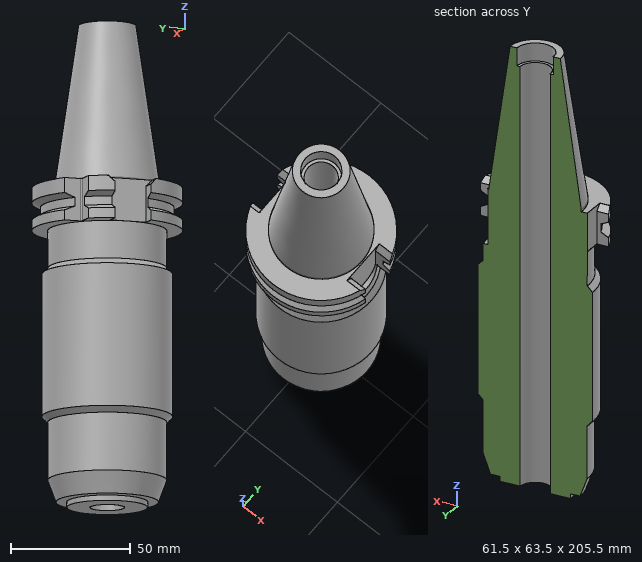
import cadquery as cq

total_height = 205.5
gauge_z = 137.0
flange_top_z = 136.0
flange_bottom_z = 118.0

taper_tip_radius = 12.1
taper_gauge_radius = 22.2

flange_diameter = 63.5
flange_radius = flange_diameter / 2
groove_radius = 28.1
groove_center_z = 126.0
groove_floor_width = 3.7
groove_mouth_width = 7.4

neck_radius = 25.0
body_radius = 27.5
body_chamfer = body_radius - neck_radius
body_top_z = 99.5
body_bottom_z = 38.6
nose_cone_top_z = 11.5
nose_cone_end_radius = 21.5
nose_lip_radius = 17.0
nose_lip_height = 2.3

slot_width = 16.0
slot_chamfer = 2.7
left_slot_floor = 25.0
right_slot_floor = 22.8
cut_reach = 41.0

notch_edge = 18.3
notch_corner_radius = 0.6

bore_radius = 7.2
counterbore_radius = 8.6
counterbore_depth = 8.5


def revolved_body():
    groove_mouth_top = groove_center_z + groove_mouth_width / 2
    groove_mouth_bottom = groove_center_z - groove_mouth_width / 2
    groove_floor_top = groove_center_z + groove_floor_width / 2
    groove_floor_bottom = groove_center_z - groove_floor_width / 2
    profile = [
        (0, 0),
        (nose_lip_radius, 0),
        (nose_lip_radius, nose_lip_height),
        (nose_cone_end_radius, nose_lip_height),
        (neck_radius, nose_cone_top_z),
        (neck_radius, body_bottom_z - body_chamfer),
        (body_radius, body_bottom_z),
        (body_radius, body_top_z),
        (neck_radius, body_top_z + body_chamfer),
        (neck_radius, flange_bottom_z),
        (flange_radius, flange_bottom_z),
        (flange_radius, groove_mouth_bottom),
        (groove_radius, groove_floor_bottom),
        (groove_radius, groove_floor_top),
        (flange_radius, groove_mouth_top),
        (flange_radius, flange_top_z),
        (taper_gauge_radius, flange_top_z),
        (taper_gauge_radius, gauge_z),
        (taper_tip_radius, total_height),
        (0, total_height),
    ]
    return cq.Workplane("XZ").polyline(profile).close().revolve(360, (0, 0), (0, 1))


def slot_cutter(floor, side):
    """Slot through the flange, chamfered at its top edges; side is -1 or +1 along X."""
    half_width = slot_width / 2
    half_mouth = half_width + slot_chamfer
    outline = [
        (-half_width, flange_bottom_z),
        (half_width, flange_bottom_z),
        (half_width, flange_top_z - slot_chamfer),
        (half_mouth, flange_top_z),
        (-half_mouth, flange_top_z),
        (-half_width, flange_top_z - slot_chamfer),
    ]
    length = side * (cut_reach - floor)
    return cq.Workplane("YZ", origin=(side * floor, 0, 0)).polyline(outline).close().extrude(length)


def slot_round_end():
    """Semicircular lower end of the deeper slot, sunk into the neck below the flange."""
    return (
        cq.Workplane("YZ", origin=(right_slot_floor, 0, 0))
        .moveTo(-slot_width / 2, flange_bottom_z)
        .threePointArc((0, flange_bottom_z - slot_width / 2), (slot_width / 2, flange_bottom_z))
        .close()
        .extrude(neck_radius - right_slot_floor)
    )


def notch_cutter():
    return (
        cq.Workplane("XY", origin=(0, 0, flange_bottom_z))
        .moveTo(-notch_edge, notch_edge)
        .rect(-cut_reach, cut_reach, centered=False)
        .extrude(flange_top_z - flange_bottom_z)
        .edges("|Z and >X and <Y")
        .fillet(notch_corner_radius)
    )


def bore_cutter():
    through_hole = cq.Workplane("XY").circle(bore_radius).extrude(total_height)
    counterbore = (
        cq.Workplane("XY", origin=(0, 0, total_height))
        .circle(counterbore_radius)
        .extrude(-counterbore_depth)
    )
    return through_hole.union(counterbore)


result = (
    revolved_body()
    .cut(slot_cutter(left_slot_floor, -1))
    .cut(slot_cutter(right_slot_floor, 1))
    .cut(slot_round_end())
    .cut(notch_cutter())
    .cut(bore_cutter())
)